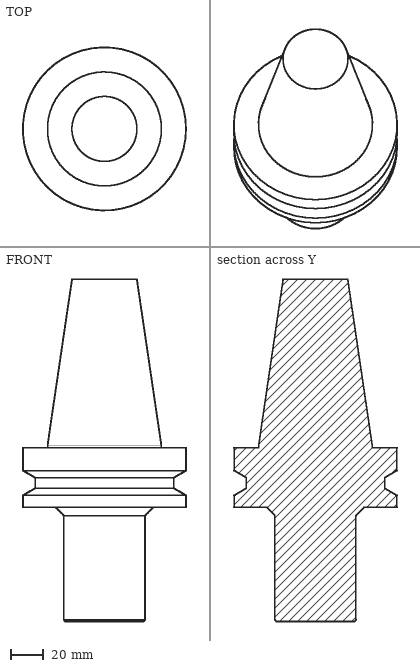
import cadquery as cq

total_length = 209.8
shank_end = -total_length / 2
holder_top = total_length / 2

taper_length = 101.8
taper_top_radius = 20.0
gauge_radius = 69.9 / 2
gauge_collar_height = 1.5

flange_radius = 100.0 / 2
groove_radius = 85.0 / 2
upper_rim_height = 14.0
lower_rim_height = 7.3
groove_floor_height = 6.3
groove_side_height = 4.5

shank_radius = 50.0 / 2
neck_radius = 30.0
neck_height = neck_radius - shank_radius
shank_chamfer = 1.0

gauge_level = holder_top - taper_length
flange_top = gauge_level - gauge_collar_height
groove_top = flange_top - upper_rim_height
floor_top = groove_top - groove_side_height
floor_bottom = floor_top - groove_floor_height
groove_bottom = floor_bottom - groove_side_height
flange_bottom = groove_bottom - lower_rim_height
neck_bottom = flange_bottom - neck_height

profile = [
    (0, shank_end),
    (shank_radius - shank_chamfer, shank_end),
    (shank_radius, shank_end + shank_chamfer),
    (shank_radius, neck_bottom),
    (neck_radius, flange_bottom),
    (flange_radius, flange_bottom),
    (flange_radius, groove_bottom),
    (groove_radius, floor_bottom),
    (groove_radius, floor_top),
    (flange_radius, groove_top),
    (flange_radius, flange_top),
    (gauge_radius, flange_top),
    (gauge_radius, gauge_level),
    (taper_top_radius, holder_top),
    (0, holder_top),
]

result = cq.Workplane("XZ").polyline(profile).close().revolve(360, (0, 0, 0), (0, 1, 0))